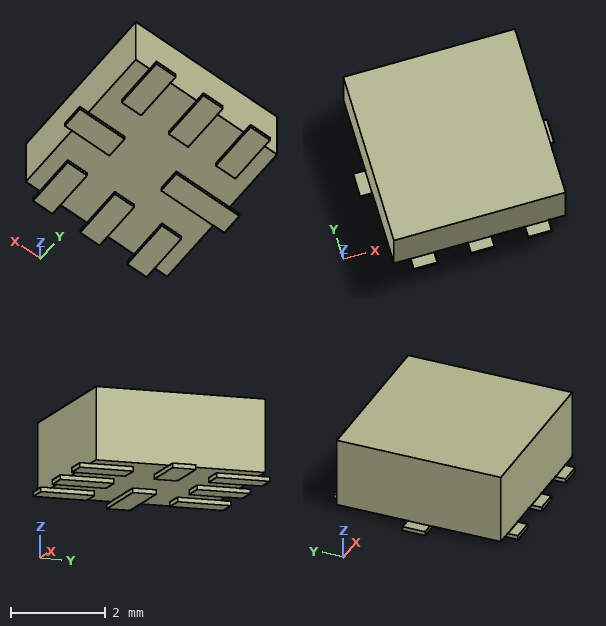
import cadquery as cq

overall_x = 4.29
overall_y = 4.27
overall_z = 1.7

housing_side = 3.8
pad_thickness = 0.1
housing_height = overall_z - pad_thickness
housing_center_x = 0.017

pad_width = 0.525
pad_length = 1.2
long_pad_length = 1.7
pad_pitch = 1.265
pads_per_row = 3


def make_housing():
    return (
        cq.Workplane("XY", origin=(housing_center_x, 0, pad_thickness))
        .rect(housing_side, housing_side)
        .extrude(housing_height)
    )


def make_pad(size_x, size_y, center_x, center_y):
    return cq.Workplane("XY").center(center_x, center_y).rect(size_x, size_y).extrude(pad_thickness)


def make_row_pads():
    """Pads in two rows along the -Y and +Y edges, flush with the overall outline."""
    row_y = (overall_y - pad_length) / 2
    pads = []
    for side in (-1, 1):
        for index in range(pads_per_row):
            pad_x = housing_center_x + (index - (pads_per_row - 1) / 2) * pad_pitch
            pads.append(make_pad(pad_width, pad_length, pad_x, side * row_y))
    return pads


def make_left_pad():
    return make_pad(long_pad_length, pad_width, (long_pad_length - overall_x) / 2, 0)


def make_right_pad():
    return make_pad(pad_length, pad_width, (overall_x - pad_length) / 2, 0)


housing = make_housing()
row_pads = make_row_pads()
left_pad = make_left_pad()
right_pad = make_right_pad()

result = cq.Compound.makeCompound(
    [housing.val(), *[pad.val() for pad in row_pads], left_pad.val(), right_pad.val()]
)